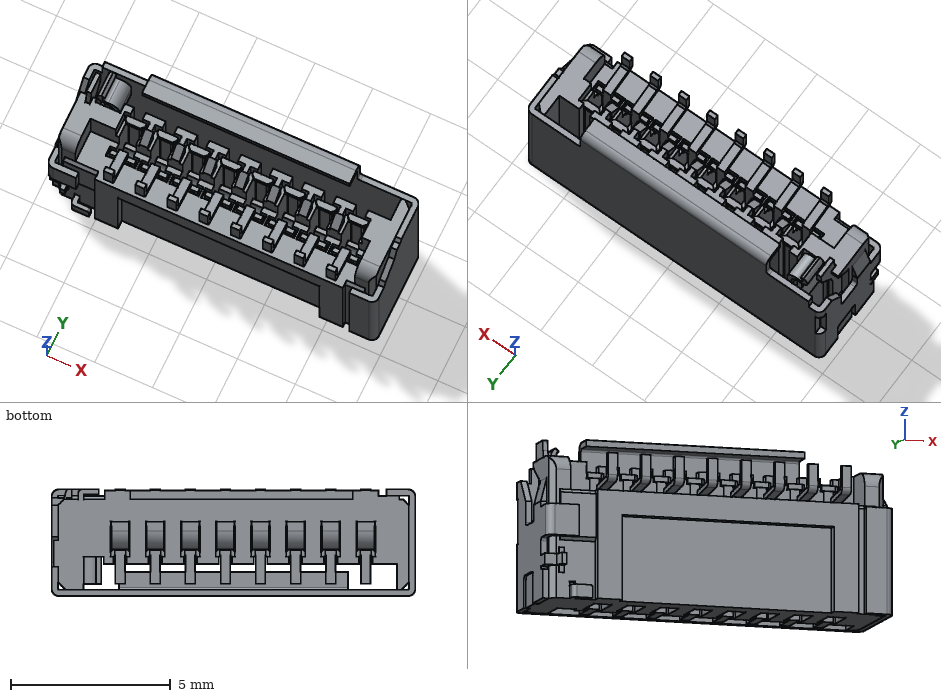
import cadquery as cq

LENGTH = 11.4
DEPTH = 3.35
HEIGHT = 5.5
HALF = LENGTH / 2

SHEET = 0.2
BEND = 0.24
BACK_TOP = 4.58
FLAP_HALF = 3.59
FLAP_FRONT = 2.59
FLAP_FILLET = 0.1
FLAP_BEND = 0.27
RETURN_LEFT_END = -4.66
RETURN_RIGHT_END = 4.79
RETURN_RIGHT_TOP = 3.39
RETURN_LEFT_BOTTOM = 1.95
RETURN_LEFT_TOP = 2.94
CORNER_STEP_X = -5.23
SLOT_FLOOR = 2.59
WEDGE_BOTTOM = 3.11
WEDGE_FRONT = 0.7
WEDGE_BACK = 1.39
WINDOW_FRONT = 1.49
WINDOW_BACK = 2.43
WINDOW_TOP = 1.03
WINDOW_FILLET = 0.14

ARM_ROOT = 0.67
ARM_BOTTOM = 1.04
ARM_TOP = 1.39
ARM_END = -5.06
ARM_SHEET = 0.16
ARM_FRONT = 0.27
ARM_HEAD_BOTTOM = 0.81
ARM_HEAD_TOP = 1.61

BLADE_LEFT = -5.22
BLADE_RIGHT = -5.06
BLADE_FRONT = 1.56
BLADE_BACK = 2.04
BLADE_WEB_TOP = 1.6
BLADE_WEB_BOTTOM = 1.4

INNER_HALF = HALF - SHEET
INNER_BACK = DEPTH - SHEET
WING_FRONT = 0.32
FLOOR = 3.47
PANEL_BOTTOM = 1.85
PANEL_TOP = FLOOR
PANEL_BEVEL = WING_FRONT - SHEET
BLOCK_LEFT = -4.04
BLOCK_RIGHT = 4.55
BLOCK_FRONT = 0.03
BLOCK_RECESS_LEFT = -3.23
BLOCK_RECESS_RIGHT = 3.74
BLOCK_RECESS_TOP = 2.7
BLOCK_RECESS_DEPTH = 0.28
TOWER_TOP = BACK_TOP
TOWER_ROUND = 0.48
TOWER_INNER = 4.83
TOWER_BACK = 2.12
COMB_FRONT = 1.44
COMB_BACK = 2.35
COMB_LEFT = -4.07
REAR_WING_LEFT = -4.7
REAR_WING_RIGHT = 5.12
CORNER_CHAMFER = 0.18
REAR_CHAMFER = 0.23

CURL_RIGHT = -4.14
CURL_FOOT_TOP = 4.13

HOOK_LEFT = -4.87
HOOK_STEM = 0.18
HOOK_TOP = 0.41
HOOK_SOCKET_DEPTH = 0.14

CONTACTS = 8
ROW_LENGTH = 7.7
PITCH = ROW_LENGTH / (CONTACTS - 1)
ROW_CENTRE = 0.3
POST_WIDTH = 0.31
POST_TOP = 4.65
STRIP = 0.16
TROUGH_WIDTH = 0.55
SLOT_WIDTH = 0.59
SLOT_FRONT = 1.01
MOUTH_WIDTH = 0.81
MOUTH_FLOOR = 4.05
GATE_WIDTH = 0.41
GATE_FRONT = 2.11
COLUMN_CREST = 1.86
COLUMN_HALF = (PITCH - MOUTH_WIDTH) / 2
POCKET_WIDTH = 1.03
POCKET_FRONT = 0.9
POCKET_BACK = 1.24
POCKET_DEPTH = 0.23

contact_xs = [ROW_CENTRE - ROW_LENGTH / 2 + i * PITCH for i in range(CONTACTS)]
column_xs = [x + PITCH / 2 for x in contact_xs[:-1]]


def block(x0, x1, y0, y1, z0, z1):
    """Box given by its limits on each axis."""
    return cq.Workplane("XY").box(x1 - x0, y1 - y0, z1 - z0, centered=False).translate((x0, y0, z0))


def strip_x(x0, x1, points):
    """Prism along X with a closed (Y, Z) outline."""
    return cq.Workplane("YZ").workplane(offset=x0).polyline(points).close().extrude(x1 - x0)


def shell_ring():
    """Sheet bent round the back, both ends and part of the front."""
    outer = block(-HALF, HALF, 0, DEPTH, 0, BACK_TOP).edges("|Z").fillet(BEND)
    inner = block(-INNER_HALF, INNER_HALF, SHEET, INNER_BACK, 0, BACK_TOP).edges("|Z").fillet(BEND - SHEET)
    front_gap = block(RETURN_LEFT_END, RETURN_RIGHT_END, 0, SHEET, 0, BACK_TOP)
    return outer.cut(inner).cut(front_gap)


def left_wall_top():
    """Space above the left wall: lowered corner, spring slot, wedge seat and front corner."""
    above = BACK_TOP + 0.11
    slot_back = 2.25
    corner_top = 4.1
    outline = [
        (DEPTH, above), (DEPTH, corner_top), (2.76, corner_top), (slot_back, 3.37), (slot_back, SLOT_FLOOR),
        (WEDGE_BACK, SLOT_FLOOR), (WEDGE_BACK, WEDGE_BOTTOM), (WEDGE_FRONT, WEDGE_BOTTOM),
        (WEDGE_FRONT, RETURN_LEFT_TOP), (0, RETURN_LEFT_TOP), (0, above),
    ]
    end_cut = strip_x(-HALF, CORNER_STEP_X, outline)
    slot_corners = cq.selectors.BoxSelector(
        (-HALF - 0.11, WEDGE_BACK - 0.01, SLOT_FLOOR - 0.01), (-HALF + 1.14, slot_back + 0.01, SLOT_FLOOR + 0.01)
    )
    end_cut = end_cut.edges("|X").edges(slot_corners).fillet(0.11)
    return end_cut.union(block(-HALF, RETURN_LEFT_END, 0, SHEET, RETURN_LEFT_TOP, above))


def left_front_openings():
    """Openings at the left front corner, leaving the root of the clip arm."""
    lower_back = 0.5
    opening_bottom = 0.92
    upper = block(-HALF, RETURN_LEFT_END, 0, ARM_ROOT, opening_bottom, RETURN_LEFT_BOTTOM)
    upper = upper.edges("|X and >Y").fillet(0.09)
    return upper.union(block(-HALF, RETURN_LEFT_END, 0, lower_back, 0, opening_bottom))


def clip_arm():
    """Arm from the left wall across the corner, its tip bent forward, with a T-shaped head."""
    outline = [
        (-HALF, ARM_ROOT + 0.11), (-HALF, ARM_FRONT), (-INNER_HALF + CORNER_CHAMFER, ARM_FRONT),
        (ARM_END - ARM_SHEET, 0), (ARM_END, 0), (ARM_END, WING_FRONT),
        (-INNER_HALF + CORNER_CHAMFER, WING_FRONT), (-INNER_HALF, WING_FRONT + CORNER_CHAMFER),
        (-INNER_HALF, ARM_ROOT + 0.11),
    ]
    arm_plane = cq.Workplane("XY", origin=(0, 0, ARM_BOTTOM))
    arm = arm_plane.polyline(outline).close().extrude(ARM_TOP - ARM_BOTTOM)
    head = block(ARM_END - ARM_SHEET, ARM_END, ARM_FRONT, WING_FRONT, ARM_HEAD_BOTTOM, ARM_HEAD_TOP)
    return arm.union(head)


def left_wall_window():
    """Round-cornered window at the foot of the left wall."""
    window = block(-HALF, -INNER_HALF, WINDOW_FRONT, WINDOW_BACK, 0, WINDOW_TOP)
    return window.edges("|X and >Z").fillet(WINDOW_FILLET)


def rear_corner_notch():
    """Opening through the bend between the left and back walls."""
    return block(-HALF, -INNER_HALF, 3.07, DEPTH, 2.14, 3.58)


def right_wall_top():
    """The right wall steps and slopes down from the back to the height of its front return."""
    above = BACK_TOP + 0.11
    outline = [
        (1.92, above), (1.92, BACK_TOP), (1.8, 4.43), (1.57, 4.43), (1.39, 4.05), (0.74, 3.59),
        (0.63, RETURN_RIGHT_TOP), (0, RETURN_RIGHT_TOP), (0, above),
    ]
    return strip_x(RETURN_RIGHT_END, HALF, outline)


def flap():
    """Raised middle of the back wall, folded forward at the top."""
    outer = block(-FLAP_HALF, FLAP_HALF, FLAP_FRONT, DEPTH, BACK_TOP - SHEET, HEIGHT)
    outer = outer.edges("|X and >Y and >Z").fillet(FLAP_BEND)
    inner = block(-FLAP_HALF, FLAP_HALF, FLAP_FRONT, INNER_BACK, BACK_TOP - SHEET, HEIGHT - SHEET)
    inner = inner.edges("|X and >Y and >Z").fillet(FLAP_BEND - SHEET)
    return outer.cut(inner)


def flap_fillet(side):
    """Concave fillet between the flap's edge and the top of the back wall."""
    root = (side * FLAP_HALF, BACK_TOP)
    return (
        cq.Workplane("XZ", origin=(0, DEPTH, 0))
        .moveTo(*root)
        .lineTo(root[0] + side * FLAP_FILLET, root[1])
        .radiusArc((root[0], root[1] + FLAP_FILLET), side * FLAP_FILLET)
        .close()
        .extrude(SHEET)
    )


def spring_blade():
    """Upright blade behind the left tower, joined to the left wall by a web."""
    outline = [
        (2.67, 5.29), (1.97, 5.29), (1.96, 4.97), (1.88, 4.59), (BLADE_FRONT, 4.1),
        (BLADE_FRONT, BLADE_WEB_BOTTOM), (BLADE_BACK, BLADE_WEB_BOTTOM),
        (BLADE_BACK, 3.53), (2.13, 3.91), (2.65, 4.73), (2.67, 4.86),
    ]
    blade = strip_x(BLADE_LEFT, BLADE_RIGHT, outline)
    web = block(-INNER_HALF, BLADE_RIGHT, BLADE_FRONT, BLADE_BACK, BLADE_WEB_BOTTOM, BLADE_WEB_TOP)
    return blade.union(web)


def make_shell():
    body = shell_ring()
    for opening in (left_wall_top(), left_front_openings(), left_wall_window(),
                    rear_corner_notch(), right_wall_top()):
        body = body.cut(opening)
    for piece in (flap(), flap_fillet(-1), flap_fillet(1), clip_arm(), spring_blade()):
        body = body.union(piece)
    return body


def front_block():
    """Thick middle of the front wall with a shallow recess open at the bottom."""
    body = block(BLOCK_LEFT, BLOCK_RIGHT, BLOCK_FRONT, COMB_FRONT, 0, FLOOR)
    recess_back = BLOCK_FRONT + BLOCK_RECESS_DEPTH
    return body.cut(
        block(BLOCK_RECESS_LEFT, BLOCK_RECESS_RIGHT, BLOCK_FRONT, recess_back, 0, BLOCK_RECESS_TOP)
    )


def wing_panels():
    """Raised panels on the front of the wings; the left one stops above the clip arm."""
    panel_end = INNER_HALF - CORNER_CHAMFER - PANEL_BEVEL
    top = [(SHEET, PANEL_TOP - PANEL_BEVEL), (WING_FRONT, PANEL_TOP)]
    left_bottom = [(WING_FRONT, PANEL_BOTTOM), (SHEET, PANEL_BOTTOM + PANEL_BEVEL)]
    right_bottom = [(WING_FRONT, 0), (SHEET, 0)]
    left = strip_x(-panel_end, BLOCK_LEFT, left_bottom + top)
    return left.union(strip_x(BLOCK_RIGHT, panel_end, right_bottom + top))


def base():
    """Body between the end walls, with chamfered front corners."""
    body = block(-INNER_HALF, INNER_HALF, WING_FRONT, TOWER_BACK, 0, FLOOR)
    body = body.edges("|Z and <Y").chamfer(CORNER_CHAMFER)
    body = body.union(block(-INNER_HALF, COMB_LEFT, COMB_FRONT, TOWER_BACK, 0, TOWER_TOP))
    return body.union(block(COMB_LEFT, INNER_HALF, COMB_FRONT, COMB_BACK, 0, TOWER_TOP))


def end_tower(side):
    """Tower at one end, rounded over the front and chamfered at the outer corner."""
    x0, x1 = sorted((side * TOWER_INNER, side * INNER_HALF))
    tower = block(x0, x1, WING_FRONT, TOWER_BACK, FLOOR, TOWER_TOP)
    outer_edge = "<X" if side < 0 else ">X"
    tower = tower.edges(f"|Z and <Y and {outer_edge}").chamfer(CORNER_CHAMFER)
    front_round = (
        cq.Workplane("YZ", origin=(x0, 0, 0))
        .moveTo(WING_FRONT, TOWER_TOP - TOWER_ROUND)
        .radiusArc((WING_FRONT + TOWER_ROUND, TOWER_TOP), TOWER_ROUND)
        .lineTo(WING_FRONT, TOWER_TOP)
        .close()
        .extrude(x1 - x0)
    )
    return tower.cut(front_round)


def rear_wings():
    """Feet reaching back to the shell; the left one is a low pad with a ramped rib."""
    pad_top = 0.91
    rib_left = -4.9
    right = block(REAR_WING_RIGHT, INNER_HALF, COMB_BACK, INNER_BACK, 0, TOWER_TOP)
    right = right.edges("|Z and >X and >Y").chamfer(REAR_CHAMFER)
    outline = [
        (-INNER_HALF, 0), (REAR_WING_LEFT, 0), (REAR_WING_LEFT, 4.15), (rib_left, 3.67),
        (rib_left, pad_top), (-INNER_HALF, pad_top),
    ]
    left_plane = cq.Workplane("XZ", origin=(0, TOWER_BACK, 0))
    left = left_plane.polyline(outline).close().extrude(TOWER_BACK - INNER_BACK)
    left = left.edges("|Z and <X and >Y").chamfer(REAR_CHAMFER)
    return right.union(left)


def tower_spring_slot():
    """Space behind the left tower's sloping edge where the spring blade moves."""
    outline = [
        (BLADE_FRONT, BLADE_WEB_BOTTOM), (BLADE_FRONT, 3.99), (TOWER_BACK, 4.42),
        (TOWER_BACK, BLADE_WEB_BOTTOM),
    ]
    return strip_x(-INNER_HALF, BLADE_RIGHT, outline)


def latch_wedge():
    """Ramp on the left tower that rests on the shell's wall."""
    wedge_top = 3.89
    return (
        cq.Workplane("XZ", origin=(0, WEDGE_FRONT, 0))
        .polyline([(-INNER_HALF, WEDGE_BOTTOM), (-HALF, WEDGE_BOTTOM), (-INNER_HALF, wedge_top)])
        .close()
        .extrude(WEDGE_FRONT - WEDGE_BACK)
    )


def window_boss():
    """Pad standing in the window at the foot of the shell's left wall."""
    boss_height = 0.14
    boss_front = 1.6
    boss = block(-INNER_HALF - boss_height, -INNER_HALF, boss_front, WINDOW_BACK, 0, WINDOW_TOP)
    return boss.edges("|X and >Z").fillet(WINDOW_FILLET)


def foot_hook():
    """Small bent tab at the foot of the left wing."""
    hook_right = -4.22
    plate = block(HOOK_LEFT + HOOK_STEM, hook_right, 0, STRIP, 0, HOOK_TOP)
    plate = plate.edges("|Y and >X and >Z").fillet(0.07)
    stem = block(HOOK_LEFT, HOOK_LEFT + HOOK_STEM, 0, WING_FRONT + HOOK_SOCKET_DEPTH, 0, HOOK_TOP)
    return plate.union(stem.edges("|Z and <X and <Y").fillet(0.14))


def hook_socket():
    """Opening in the wing from which the tab comes out, a little taller than the tab."""
    back = WING_FRONT + HOOK_SOCKET_DEPTH
    socket_top = 0.55
    return block(HOOK_LEFT, HOOK_LEFT + HOOK_STEM, WING_FRONT, back, 0, socket_top)


def tower_rear_bevel():
    """Steep bevel along the back of the left tower, in front of the curl."""
    bevel_front = 2.01
    outline = [(bevel_front, TOWER_TOP), (TOWER_BACK, CURL_FOOT_TOP), (TOWER_BACK, TOWER_TOP)]
    bevel_left = -4.94
    return strip_x(bevel_left, COMB_LEFT, outline)


def side_curl():
    """Curled strip standing on the back face of the left tower."""
    curl_front = 2.1
    curl_back = 2.98
    foot_bottom = 3.88
    return (
        cq.Workplane("XZ", origin=(0, curl_front, 0))
        .moveTo(CURL_RIGHT, foot_bottom)
        .lineTo(CURL_RIGHT, 4.4)
        .threePointArc((-4.26, 4.63), (-4.54, 4.71))
        .threePointArc((-4.73, 4.83), (-4.65, 4.98))
        .lineTo(-4.77, 5.08)
        .threePointArc((-4.91, 4.81), (-4.67, 4.55))
        .threePointArc((-4.39, 4.45), (-4.31, CURL_FOOT_TOP))
        .lineTo(-4.31, foot_bottom)
        .close()
        .extrude(curl_front - curl_back)
    )


def contact_slot(x):
    """Through slot for one contact, with its wide mouth, rear gate and front pocket."""
    def centred(width, y0, y1, z0, z1):
        return block(x - width / 2, x + width / 2, y0, y1, z0, z1)

    slot = centred(SLOT_WIDTH, SLOT_FRONT, GATE_FRONT, 0, TOWER_TOP)
    slot = slot.union(centred(MOUTH_WIDTH, COMB_FRONT, GATE_FRONT, MOUTH_FLOOR, TOWER_TOP))
    slot = slot.union(centred(GATE_WIDTH, GATE_FRONT, COMB_BACK, 0, TOWER_TOP))
    return slot.union(centred(POCKET_WIDTH, POCKET_FRONT, POCKET_BACK, FLOOR - POCKET_DEPTH, FLOOR))


def column_chamfer(x):
    """Slope cut from the front of the narrow column between two slots."""
    outline = [(COMB_FRONT, 4.2), (COLUMN_CREST, TOWER_TOP), (COMB_FRONT, TOWER_TOP)]
    return strip_x(x - COLUMN_HALF, x + COLUMN_HALF, outline)


def column_neck(x):
    """Grooves either side of a column, leaving a neck in front of its rear bar."""
    neck_half = 0.09
    left = block(x - COLUMN_HALF, x - neck_half, COLUMN_CREST, GATE_FRONT, MOUTH_FLOOR, TOWER_TOP)
    return left.union(left.mirror("YZ", (x, 0, 0)))


def contact(x):
    """One contact: front post and arm, curved trough, rear leg with head and tail."""
    def centred(width):
        return cq.Workplane("YZ", origin=(x - width / 2, 0, 0))

    arm_back = 1.16
    wall_front = arm_back - STRIP
    trough_z = 2.05
    bend = 0.43
    trough_back = 1.73
    post = (
        centred(POST_WIDTH)
        .moveTo(0, POST_TOP)
        .lineTo(0, 3.97)
        .radiusArc((0.2, 3.76), -0.2)
        .lineTo(wall_front, 3.65)
        .lineTo(wall_front, trough_z)
        .lineTo(arm_back, trough_z)
        .lineTo(arm_back, 3.8)
        .lineTo(0.23, 3.92)
        .lineTo(STRIP, 4.01)
        .lineTo(STRIP, POST_TOP)
        .close()
        .extrude(POST_WIDTH)
    )
    trough = (
        centred(TROUGH_WIDTH)
        .moveTo(wall_front, trough_z)
        .lineTo(trough_back - bend, trough_z)
        .radiusArc((trough_back, trough_z + bend), -bend)
        .lineTo(trough_back + STRIP, trough_z + bend)
        .radiusArc((trough_back - bend, trough_z - STRIP), bend + STRIP)
        .lineTo(wall_front, trough_z - STRIP)
        .close()
        .extrude(TROUGH_WIDTH)
    )
    foot_width = 0.87
    foot = block(x - foot_width / 2, x + foot_width / 2, wall_front, arm_back, FLOOR - POCKET_DEPTH, FLOOR)
    head_bottom = 4.16
    head_top = 4.33
    head_half = 0.34
    head_depth = 0.23
    head_chamfer = 0.11
    head = block(x - head_half, x + head_half, GATE_FRONT - head_depth, GATE_FRONT, head_bottom, head_top)
    head = head.edges("|Z and <Y").chamfer(head_chamfer)
    rear_leg_front = 1.92
    rear_leg_half = 0.17
    tail_back = 2.96
    tail = block(x - POST_WIDTH / 2, x + POST_WIDTH / 2, rear_leg_front, tail_back, 0, STRIP)
    rear_leg = block(
        x - rear_leg_half, x + rear_leg_half, rear_leg_front, rear_leg_front + STRIP, 0, head_top
    )
    return post.union(trough).union(foot).union(head).union(tail).union(rear_leg)


def make_housing():
    body = base()
    for piece in (front_block(), wing_panels(), end_tower(-1), end_tower(1), rear_wings()):
        body = body.union(piece)
    for x in contact_xs:
        body = body.cut(contact_slot(x))
    for x in column_xs:
        body = body.cut(column_chamfer(x)).cut(column_neck(x))
    body = body.cut(tower_spring_slot()).cut(spring_blade()).cut(hook_socket())
    body = body.cut(tower_rear_bevel())
    for piece in (latch_wedge(), window_boss(), foot_hook(), side_curl()):
        body = body.union(piece)
    for x in contact_xs:
        body = body.union(contact(x))
    return body


shell = make_shell()
housing = make_housing()
result = cq.Compound.makeCompound([shell.solids().val(), housing.solids().val()])